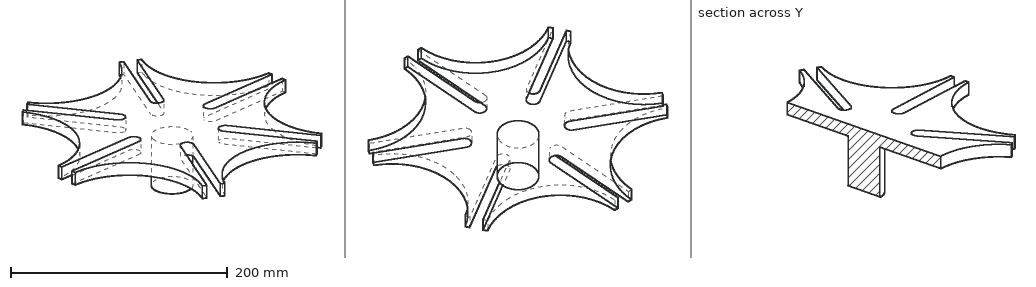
import cadquery as cq
import math

slot_count = 6
slot_step = 360 / slot_count
tip_height = 139.7
slot_width = 12.9
slot_inner_reach = 44.5
lock_radius = 69.8
plate_thickness = 12.9
shaft_diameter = 38.5
shaft_length = 50.9

slot_radius = slot_width / 2
slot_center = slot_inner_reach + slot_radius
crank_distance = tip_height / math.cos(math.radians(slot_step / 2))
first_slot_angle = 90


def slot_cutter(angle):
    """Round-bottomed slot running out past the rim at the given angle."""
    outer_end = tip_height + slot_width
    return (
        cq.Workplane("XY")
        .moveTo(outer_end, slot_radius)
        .lineTo(slot_center, slot_radius)
        .threePointArc((slot_inner_reach, 0), (slot_center, -slot_radius))
        .lineTo(outer_end, -slot_radius)
        .close()
        .extrude(plate_thickness)
        .rotate((0, 0, 0), (0, 0, 1), angle)
    )


def lock_cutter(angle):
    """Cylinder that scoops a concave locking arc out of the rim."""
    return (
        cq.Workplane("XY")
        .center(crank_distance, 0)
        .circle(lock_radius)
        .extrude(plate_thickness)
        .rotate((0, 0, 0), (0, 0, 1), angle)
    )


blank_diameter = 2 * crank_distance
wheel = cq.Workplane("XY").polygon(slot_count, blank_diameter).extrude(plate_thickness)
for index in range(slot_count):
    slot_angle = first_slot_angle + index * slot_step
    wheel = wheel.cut(slot_cutter(slot_angle))
    wheel = wheel.cut(lock_cutter(slot_angle + slot_step / 2))

shaft = cq.Workplane("XY").circle(shaft_diameter / 2).extrude(-shaft_length)
result = wheel.union(shaft)